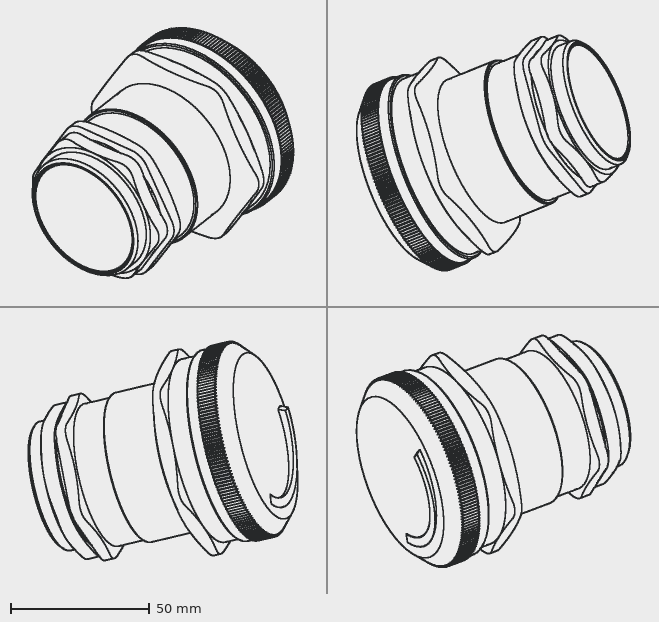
import cadquery as cq
import math


plug_diameter = 48.0
plug_chamfer = 1.1
recess_mouth_radius = 22.3
recess_depth = 0.4
plug_nut_start = 6.1
plug_nut_corner_end = 12.6
plug_nut_corner_radius = 28.7
plug_nut_flats = 51.8
plug_nut_front_angle = 27
plug_nut_dish_angle = 17

seal_tube_radius = 1.1
seal_outer_radius = 25.5
seal_center_radius = seal_outer_radius - seal_tube_radius

sleeve_nut_start = 13.95
sleeve_nut_end = 19.2
sleeve_nut_flats = 55.1
small_sleeve_diameter = 53.0
large_sleeve_diameter = 55.6
large_sleeve_start = 31.2
large_sleeve_chamfer = 0.4

flange_start = 51.1
flange_end = 59.1
flange_flats = 67.95
nut_cone_angle = 20
hex_corner_radius = 8.0

collar_diameter = 68.0
ring_diameter = 71
knurl_tip_diameter = 72.5
ring_start = 66.75
ring_chamfer = 0.5
cap_start = 71.4
cap_end = 83.3
cap_face_radius = 30.8
knurl_tip_radius = knurl_tip_diameter / 2
knurl_root_radius = ring_diameter / 2
knurl_teeth = 180

band_top = 85.6
band_inner_radius = 24
band_outer_radius = 27.55
band_start_angle = 125
band_end_angle = 255
band_lean = 1.9


def slope(run, angle):
    """Rise of a cone over a radial run, for a cone angle measured from the end plane."""
    return run * math.tan(math.radians(angle))


def turned(points):
    """Solid of revolution about Y from (radius, y) points."""
    return cq.Workplane("XY").polyline(points).close().revolve(360, (0, 0), (0, 1))


def cylinder(diameter, start, end):
    """Plain cylinder between two Y positions."""
    return turned([(0, start), (diameter / 2, start), (diameter / 2, end), (0, end)])


def chamfered_cylinder(diameter, start, end, chamfer):
    """Cylinder with a 45 degree chamfer on its front edge."""
    radius = diameter / 2
    return turned([(0, start), (radius - chamfer, start), (radius, start + chamfer), (radius, end), (0, end)])


def at_y(level):
    """Sketch plane with axes X and Z; extruding runs towards -Y."""
    return cq.Workplane("XZ", origin=(0, level, 0))


def hexagon(flats, start, end):
    """Hexagonal prism with rounded corners, two of them pointing along X."""
    corner_diameter = flats / math.cos(math.radians(30))
    prism = at_y(end).polygon(6, corner_diameter).extrude(end - start)
    return prism.edges("|Y").fillet(hex_corner_radius)


def hex_nut(flats, front, back):
    """Hexagon trimmed by end cones.

    Each end is (radius, y, angle): a flat face out to that radius, then a cone out to the corners.
    A positive angle chamfers the corners, a negative one dishes the end.
    """
    front_radius, front_y, front_angle = front
    back_radius, back_y, back_angle = back
    corner_radius = flats / math.sqrt(3)
    front_corner_y = front_y + slope(corner_radius - front_radius, front_angle)
    back_corner_y = back_y - slope(corner_radius - back_radius, back_angle)
    envelope = turned([
        (0, front_y),
        (front_radius, front_y),
        (corner_radius, front_corner_y),
        (corner_radius, back_corner_y),
        (back_radius, back_y),
        (0, back_y),
    ])
    return hexagon(flats, front_y, max(back_y, back_corner_y)).intersect(envelope)


def plug():
    """Front end with a chamfered rim and a shallow conical recess that leaves a narrow lip."""
    body = chamfered_cylinder(plug_diameter, 0, sleeve_nut_start, plug_chamfer)
    floor_radius = recess_mouth_radius - recess_depth
    recess = turned([(0, 0), (recess_mouth_radius, 0), (floor_radius, recess_depth), (0, recess_depth)])
    return body.cut(recess)


def plug_nut():
    """Nut chamfered at the front and dished at the back around the sealing ring."""
    front = (plug_nut_flats / 2, plug_nut_start, plug_nut_front_angle)
    dish_depth = slope(plug_nut_corner_radius - seal_center_radius, plug_nut_dish_angle)
    back = (seal_center_radius, plug_nut_corner_end - dish_depth, -plug_nut_dish_angle)
    return hex_nut(plug_nut_flats, front, back)


def seal():
    """Round sealing ring resting on the flat face of the sleeve nut."""
    center_y = sleeve_nut_start - seal_tube_radius
    section = cq.Workplane("XY").transformed(offset=(seal_center_radius, center_y, 0), rotate=(0, 0, 180))
    return section.circle(seal_tube_radius).revolve(360, (seal_center_radius, 0), (seal_center_radius, 1))


def sleeve_nut():
    """Nut flat at the front and chamfered where it meets the sleeve."""
    front = (sleeve_nut_flats / 2, sleeve_nut_start, 0)
    back = (small_sleeve_diameter / 2, sleeve_nut_end, nut_cone_angle)
    return hex_nut(sleeve_nut_flats, front, back)


def flange():
    """Large hexagon with a long front cone and chamfered back corners."""
    front = (large_sleeve_diameter / 2, flange_start, nut_cone_angle)
    back = (flange_flats / 2, flange_end, nut_cone_angle)
    return hex_nut(flange_flats, front, back)


def knurled_cap():
    """Toothed disc trimmed by a 45 degree cone that ends at the flat cap face."""
    outline = []
    for step in range(2 * knurl_teeth):
        radius = knurl_tip_radius if step % 2 == 0 else knurl_root_radius
        angle = math.pi / 2 + step * math.pi / knurl_teeth
        outline.append((radius * math.cos(angle), radius * math.sin(angle)))
    disc = at_y(cap_end).polyline(outline).close().extrude(cap_end - cap_start)
    cone_base_radius = cap_face_radius + cap_end - cap_start
    envelope = turned([(0, cap_start), (cone_base_radius, cap_start), (cap_face_radius, cap_end), (0, cap_end)])
    return disc.intersect(envelope)


def raised_band():
    """Arc-shaped band that leans towards -X and fades into the cap face at its lower end."""
    def polar(radius, angle):
        return (radius * math.cos(math.radians(angle)), radius * math.sin(math.radians(angle)))

    middle_angle = (band_start_angle + band_end_angle) / 2
    outline = (
        at_y(band_top)
        .moveTo(*polar(band_inner_radius, band_start_angle))
        .lineTo(*polar(band_outer_radius, band_start_angle))
        .threePointArc(polar(band_outer_radius, middle_angle), polar(band_outer_radius, band_end_angle))
        .lineTo(*polar(band_inner_radius, band_end_angle))
        .threePointArc(polar(band_inner_radius, middle_angle), polar(band_inner_radius, band_start_angle))
        .close()
    )
    lean = cq.Vector(band_lean, cap_end - band_top, 0)
    band = cq.Workplane(cq.Solid.extrudeLinear(outline.val(), [], lean))

    high_z = polar(band_outer_radius, band_start_angle)[1]
    low_z = polar(band_outer_radius, band_end_angle)[1]
    wedge = (
        cq.Workplane("YZ")
        .polyline([(cap_end, low_z), (band_top, high_z), (cap_end, high_z)])
        .close()
        .extrude(knurl_tip_radius, both=True)
    )
    return band.intersect(wedge)


parts = [
    plug_nut(),
    seal(),
    sleeve_nut(),
    cylinder(small_sleeve_diameter, sleeve_nut_end, large_sleeve_start),
    chamfered_cylinder(large_sleeve_diameter, large_sleeve_start, flange_start, large_sleeve_chamfer),
    flange(),
    cylinder(collar_diameter, flange_end, ring_start),
    chamfered_cylinder(ring_diameter, ring_start, cap_start, ring_chamfer),
    knurled_cap(),
    raised_band(),
]
result = plug()
for part in parts:
    result = result.union(part)